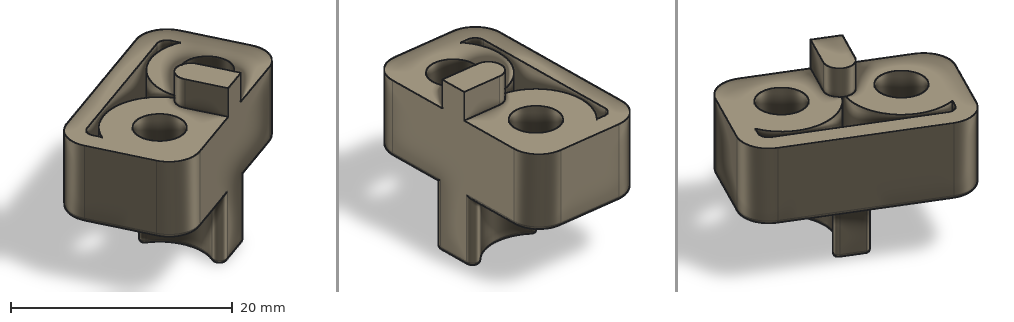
import cadquery as cq
import math

length_x = 13.0
width_y = 22.5
body_height = 8.0
body_corner_radius = 3.0
edge_round = 0.45

hole_x = 8.0
hole_y = width_y / 4
hole_diameter = 4.9
counterbore_diameter = 9.0
counterbore_depth = 5.0

pocket_left = 2.0
pocket_half_width = 9.25
pocket_depth = 6.0
pocket_corner_radius = 1.0
boss_radius = 5.5

tongue_height = 3.0
tongue_width = 3.0
tongue_left = 7.25

post_height = 18.0 - body_height - tongue_height
post_left = 4.2
post_waist_radius = 5.0
post_front_round = 0.5
post_back_round = 0.75
cove_radius = 0.45

hole_centers = [(hole_x, -hole_y), (hole_x, hole_y)]


def make_body():
    body = cq.Workplane("XY").box(length_x, width_y, body_height, centered=(False, True, False))
    return body.edges("|Z").fillet(body_corner_radius).faces("<Z").edges().fillet(edge_round)


def make_pocket():
    floor = cq.Workplane("XY").workplane(offset=body_height - pocket_depth)
    pocket_length = hole_x - pocket_left
    pocket = (
        floor.center(pocket_left + pocket_length / 2, 0)
        .rect(pocket_length, 2 * pocket_half_width)
        .extrude(pocket_depth)
        .edges("|Z and <X")
        .fillet(pocket_corner_radius)
    )
    bosses = floor.pushPoints(hole_centers).circle(boss_radius).extrude(pocket_depth)
    return pocket.cut(bosses)


def make_tongue():
    nose_radius = tongue_width / 2
    nose_x = tongue_left + nose_radius
    return (
        cq.Workplane("XY")
        .workplane(offset=body_height)
        .moveTo(length_x, -nose_radius)
        .lineTo(nose_x, -nose_radius)
        .threePointArc((tongue_left, 0), (nose_x, nose_radius))
        .lineTo(length_x, nose_radius)
        .close()
        .extrude(tongue_height)
    )


def corner_center_y(center_x, radius):
    """Y of a post corner round that touches the waist arc on the +Y side."""
    reach = post_waist_radius + radius
    return hole_y - math.sqrt(reach**2 - (center_x - hole_x) ** 2)


def waist_point(corner_x, corner_y):
    """Point where a corner round meets the waist arc, on the line between their centres."""
    share = post_waist_radius / math.hypot(corner_x - hole_x, corner_y - hole_y)
    return hole_x + share * (corner_x - hole_x), hole_y + share * (corner_y - hole_y)


def round_middle(corner_x, corner_y, radius, start, end):
    """Point halfway along a corner round."""
    dx = (start[0] + end[0]) / 2 - corner_x
    dy = (start[1] + end[1]) / 2 - corner_y
    reach = radius / math.hypot(dx, dy)
    return corner_x + reach * dx, corner_y + reach * dy


front_x = post_left + post_front_round
front_y = corner_center_y(front_x, post_front_round)
back_x = length_x - post_back_round
back_y = corner_center_y(back_x, post_back_round)


def make_post():
    front_flat = (post_left, front_y)
    front_waist = waist_point(front_x, front_y)
    back_waist = waist_point(back_x, back_y)
    back_flat = (length_x, back_y)
    front_middle = round_middle(front_x, front_y, post_front_round, front_flat, front_waist)
    back_middle = round_middle(back_x, back_y, post_back_round, back_waist, back_flat)
    half_post = (
        cq.Workplane("XY")
        .workplane(offset=-post_height)
        .moveTo(post_left, 0)
        .lineTo(*front_flat)
        .threePointArc(front_middle, front_waist)
        .threePointArc((hole_x, hole_y - post_waist_radius), back_waist)
        .threePointArc(back_middle, back_flat)
        .lineTo(length_x, 0)
        .close()
        .extrude(post_height + edge_round)
    )
    post = half_post.union(half_post.mirror("XZ"))
    return post.faces("<Z").edges().fillet(edge_round)


def cove_profile(plane_y):
    """Cove section running from the front round's axis out to the body underside."""
    flare_x = post_left - cove_radius
    middle = cove_radius * (1 - math.sqrt(0.5))
    return (
        cq.Workplane("XZ", origin=(front_x, plane_y, 0))
        .moveTo(0, 0)
        .lineTo(flare_x - front_x, 0)
        .threePointArc((post_left - middle - front_x, -middle), (post_left - front_x, -cove_radius))
        .lineTo(0, -cove_radius)
        .close()
    )


def make_cove():
    cove = cove_profile(front_y).extrude(2 * front_y)
    for corner_y in (-front_y, front_y):
        cove = cove.union(cove_profile(corner_y).revolve(360, (0, 0, 0), (0, 1, 0)))
    return cove


def make_holes():
    through = cq.Workplane("XY").pushPoints(hole_centers).circle(hole_diameter / 2).extrude(body_height)
    wide = (
        cq.Workplane("XY")
        .pushPoints(hole_centers)
        .circle(counterbore_diameter / 2)
        .extrude(counterbore_depth)
    )
    return through.union(wide)


result = (
    make_body()
    .cut(make_pocket())
    .union(make_tongue())
    .union(make_post())
    .union(make_cove())
    .cut(make_holes())
)